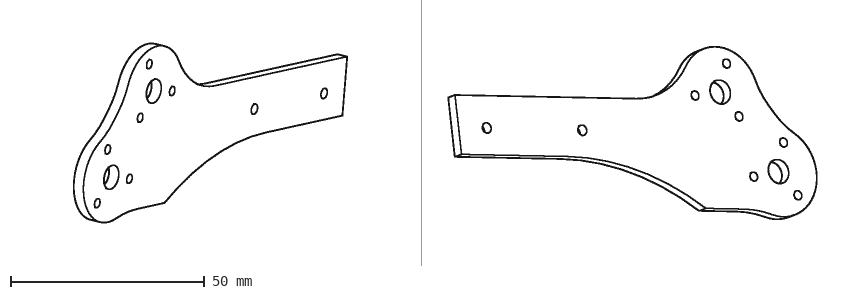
import cadquery as cq
import math

thickness = 3.2
length = 112.8
height = 43.6

tilt = math.radians(7.5)
handle_width = 15.7
handle_corner = (0.0, 18.6)
belly_start = 35.0
belly_tip = (78.2, 0.0)

lobe_radius = 12.0
upper_lobe = (82.7, height - lobe_radius)
lower_lobe = (length - lobe_radius, 13.2)
blend_radius = 20.0
belly_blend_radius = 30.0
web_offset = 9.8

bore_diameter = 6.3
screw_diameter = 2.4
handle_hole_diameter = 2.7
screw_circle_radius = 8.1
upper_screw_angles = (76, 195, 316)
lower_screw_angles = (79, 198, 318)
handle_holes = ((9.9, 11.3), (39.7, 15.1))


def shift(point, direction, distance):
    return (point[0] + distance * direction[0], point[1] + distance * direction[1])


def dot(a, b):
    return a[0] * b[0] + a[1] * b[1]


def between(start, end):
    return (end[0] - start[0], end[1] - start[1])


def unit(vector):
    size = math.hypot(*vector)
    return (vector[0] / size, vector[1] / size)


def polar(center, radius, degrees):
    angle = math.radians(degrees)
    return shift(center, (math.cos(angle), math.sin(angle)), radius)


def blend(lobe, line_point, direction, outward, radius, side):
    """Concave arc joining a straight edge to a lobe.

    direction runs along the edge and outward points away from the material;
    side is -1 or 1 for a blend before or after the lobe along the edge.
    Returns the arc's point on the edge, its middle point and its point on the lobe.
    """
    offset = between(line_point, lobe)
    rise = radius - dot(offset, outward)
    run = math.sqrt((radius + lobe_radius) ** 2 - rise**2)
    on_edge = shift(line_point, direction, dot(offset, direction) + side * run)
    center = shift(on_edge, outward, radius)
    on_lobe = shift(center, unit(between(center, lobe)), radius)
    chord_middle = shift(on_edge, between(on_edge, on_lobe), 0.5)
    middle = shift(center, unit(between(center, chord_middle)), radius)
    return on_edge, middle, on_lobe


def across(point):
    """Place an (along, up) point on the YZ sketch plane."""
    return (-point[0], point[1])


def hole_cutter(points, diameter):
    sketch = cq.Workplane("YZ").pushPoints([across(point) for point in points])
    return sketch.circle(diameter / 2).extrude(thickness)


handle_direction = (math.cos(tilt), math.sin(tilt))
handle_up = (-math.sin(tilt), math.cos(tilt))
handle_down = (math.sin(tilt), -math.cos(tilt))
web_direction = unit(between(upper_lobe, lower_lobe))
web_outward = (-web_direction[1], web_direction[0])
web_point = shift(upper_lobe, web_outward, web_offset)

neck = blend(upper_lobe, handle_corner, handle_direction, handle_up, blend_radius, -1)
web_top = blend(upper_lobe, web_point, web_direction, web_outward, blend_radius, 1)
web_bottom = blend(lower_lobe, web_point, web_direction, web_outward, blend_radius, -1)
chin = blend(lower_lobe, belly_tip, handle_direction, handle_down, belly_blend_radius, -1)

lower_corner = shift(handle_corner, handle_down, handle_width)
belly_run = (belly_start - lower_corner[0]) / math.cos(tilt)
belly_edge_end = shift(lower_corner, handle_direction, belly_run)
belly_chord = between(belly_edge_end, belly_tip)
belly_radius = dot(belly_chord, belly_chord) / (2 * dot(belly_chord, handle_down))
belly_center = shift(belly_edge_end, handle_down, belly_radius)
belly_chord_middle = shift(belly_edge_end, belly_chord, 0.5)
belly_middle = shift(belly_center, unit(between(belly_center, belly_chord_middle)), belly_radius)

plate = (
    cq.Workplane("YZ")
    .moveTo(*across(handle_corner))
    .lineTo(*across(neck[0]))
    .threePointArc(across(neck[1]), across(neck[2]))
    .threePointArc(across(polar(upper_lobe, lobe_radius, 90)), across(web_top[2]))
    .threePointArc(across(web_top[1]), across(web_top[0]))
    .lineTo(*across(web_bottom[0]))
    .threePointArc(across(web_bottom[1]), across(web_bottom[2]))
    .threePointArc(across(polar(lower_lobe, lobe_radius, 0)), across(chin[2]))
    .threePointArc(across(chin[1]), across(chin[0]))
    .lineTo(*across(belly_tip))
    .threePointArc(across(belly_middle), across(belly_edge_end))
    .lineTo(*across(lower_corner))
    .close()
    .extrude(thickness)
)

for lobe, angles in ((upper_lobe, upper_screw_angles), (lower_lobe, lower_screw_angles)):
    screws = [polar(lobe, screw_circle_radius, angle) for angle in angles]
    plate = plate.cut(hole_cutter([lobe], bore_diameter))
    plate = plate.cut(hole_cutter(screws, screw_diameter))

result = plate.cut(hole_cutter(handle_holes, handle_hole_diameter))